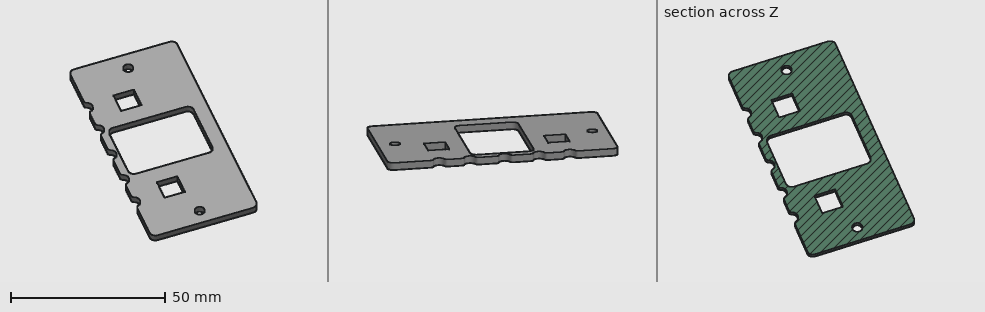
import cadquery as cq
import math

PLATE_LENGTH = 76.0
PLATE_WIDTH = 37.0
PLATE_THICKNESS = 2.5
CORNER_RADIUS = 2.0

LAYOUT_X = 0.4

WINDOW_LENGTH = 21.0
WINDOW_WIDTH = 29.2
WINDOW_Y = -1.1
WINDOW_CORNER_RADIUS = CORNER_RADIUS

SQUARE_SIDE = 7.1
SQUARE_SPACING = 39.7
SQUARE_Y = -5.1

HOLE_DIAMETER = 3.3
HOLE_SPACING = 65.2
HOLE_Y = 0.0

NOTCH_RADIUS = 2.0
NOTCH_LIP_RADIUS = NOTCH_RADIUS / 2
INNER_NOTCH_PITCH = 11.4
OUTER_NOTCH_PITCH = 10.2

FRONT_EDGE_Y = -PLATE_WIDTH / 2
CUT_HEIGHT = 2 * PLATE_THICKNESS


def rounded_block(length, width, height, corner_radius):
    """Block centred on the origin with its vertical edges rounded."""
    return cq.Workplane("XY").box(length, width, height).edges("|Z").fillet(corner_radius)


def mirrored_pair(spacing, y):
    """Two points placed symmetrically about the layout line."""
    return [(LAYOUT_X + side * spacing / 2, y) for side in (-1, 1)]


def make_window():
    window = rounded_block(WINDOW_LENGTH, WINDOW_WIDTH, CUT_HEIGHT, WINDOW_CORNER_RADIUS)
    return window.translate((LAYOUT_X, WINDOW_Y, 0))


def make_square_openings():
    centres = mirrored_pair(SQUARE_SPACING, SQUARE_Y)
    return cq.Workplane("XY").pushPoints(centres).box(SQUARE_SIDE, SQUARE_SIDE, CUT_HEIGHT)


def make_mounting_holes():
    centres = mirrored_pair(HOLE_SPACING, HOLE_Y)
    return cq.Workplane("XY").pushPoints(centres).circle(HOLE_DIAMETER / 2).extrude(CUT_HEIGHT / 2, both=True)


def make_notch(x):
    """Arc centred on the front edge, blended into that edge by a tangent lip arc on each side."""
    centre_distance = NOTCH_RADIUS + NOTCH_LIP_RADIUS
    lip_x = math.sqrt(centre_distance**2 - NOTCH_LIP_RADIUS**2)
    blend_x = lip_x * NOTCH_RADIUS / centre_distance
    blend_y = NOTCH_LIP_RADIUS * NOTCH_RADIUS / centre_distance
    lip_angle = (math.asin(NOTCH_LIP_RADIUS / centre_distance) + math.pi / 2) / 2 + math.pi
    lip_mid_x = lip_x + NOTCH_LIP_RADIUS * math.cos(lip_angle)
    lip_mid_y = NOTCH_LIP_RADIUS * (1 + math.sin(lip_angle))
    return (
        cq.Workplane("XY", origin=(x, FRONT_EDGE_Y, 0))
        .moveTo(-lip_x, 0)
        .threePointArc((-lip_mid_x, lip_mid_y), (-blend_x, blend_y))
        .threePointArc((0, NOTCH_RADIUS), (blend_x, blend_y))
        .threePointArc((lip_mid_x, lip_mid_y), (lip_x, 0))
        .close()
        .extrude(CUT_HEIGHT / 2, both=True)
    )


outer_notch_offset = INNER_NOTCH_PITCH + OUTER_NOTCH_PITCH
notch_offsets = [-outer_notch_offset, -INNER_NOTCH_PITCH, 0, INNER_NOTCH_PITCH, outer_notch_offset]

plate = rounded_block(PLATE_LENGTH, PLATE_WIDTH, PLATE_THICKNESS, CORNER_RADIUS)
plate = plate.cut(make_window())
plate = plate.cut(make_square_openings())
plate = plate.cut(make_mounting_holes())
for offset in notch_offsets:
    plate = plate.cut(make_notch(LAYOUT_X + offset))

result = plate